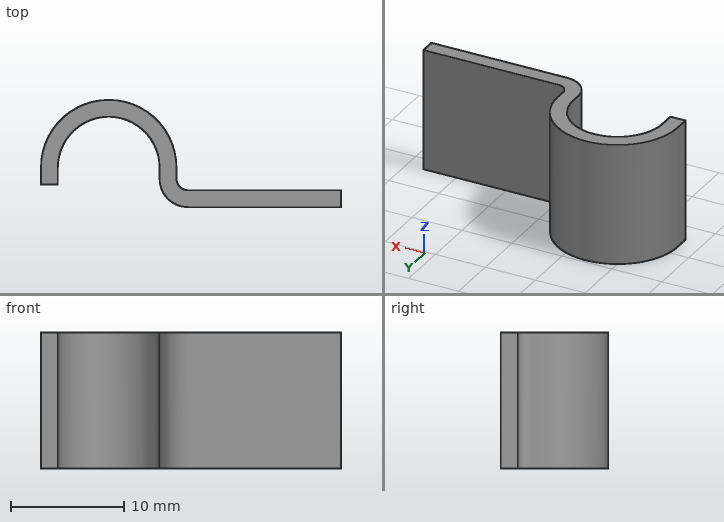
import cadquery as cq

length = 26.5
depth = 9.5
width = 12.0

thickness = 1.5
loop_outer_radius = 6.0
loop_inner_radius = loop_outer_radius - thickness
bend_inner_radius = 1.0
bend_outer_radius = bend_inner_radius + thickness
lip_length = 1.5

tab_end = length - loop_outer_radius
tab_bottom = loop_outer_radius - depth
tab_top = tab_bottom + thickness
bend_center_x = loop_outer_radius + bend_inner_radius
bend_center_y = tab_bottom + bend_outer_radius


def clip_profile():
    """Bent strip outline: lip, half loop, reverse bend and flat tab."""
    return (
        cq.Workplane("XY")
        .moveTo(-loop_outer_radius, -lip_length)
        .lineTo(-loop_outer_radius, 0)
        .threePointArc((0, loop_outer_radius), (loop_outer_radius, 0))
        .lineTo(loop_outer_radius, bend_center_y)
        .radiusArc((bend_center_x, tab_top), -bend_inner_radius)
        .lineTo(tab_end, tab_top)
        .lineTo(tab_end, tab_bottom)
        .lineTo(bend_center_x, tab_bottom)
        .radiusArc((loop_inner_radius, bend_center_y), bend_outer_radius)
        .lineTo(loop_inner_radius, 0)
        .threePointArc((0, loop_inner_radius), (-loop_inner_radius, 0))
        .lineTo(-loop_inner_radius, -lip_length)
        .close()
    )


result = clip_profile().extrude(width)